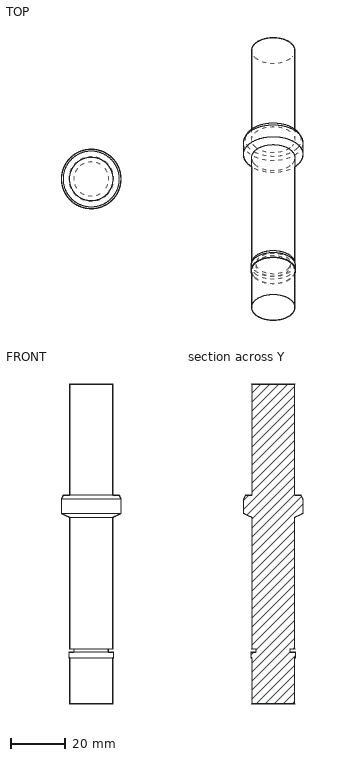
import cadquery as cq

length = 117.5
shaft_radius = 8.0

collar_diameter = 22.0
collar_radius = collar_diameter / 2
collar_top = 76.7
collar_height = 8.2
chamfer_height = 1.4
chamfer_width = 0.7
taper_height = 1.4

groove_radius = 6.3
groove_top = 20.1
groove_width = 1.0
ring_radius = 8.2
ring_height = 2.1

collar_bottom = collar_top - collar_height
groove_bottom = groove_top - groove_width
ring_bottom = groove_bottom - ring_height

half_section = [
    (0, 0),
    (shaft_radius, 0),
    (shaft_radius, ring_bottom),
    (ring_radius, ring_bottom),
    (ring_radius, groove_bottom),
    (groove_radius, groove_bottom),
    (groove_radius, groove_top),
    (shaft_radius, groove_top),
    (shaft_radius, collar_bottom),
    (collar_radius, collar_bottom + taper_height),
    (collar_radius, collar_top - chamfer_height),
    (collar_radius - chamfer_width, collar_top),
    (shaft_radius, collar_top),
    (shaft_radius, length),
    (0, length),
]

result = cq.Workplane("XZ").polyline(half_section).close().revolve(360, (0, 0), (0, 1))